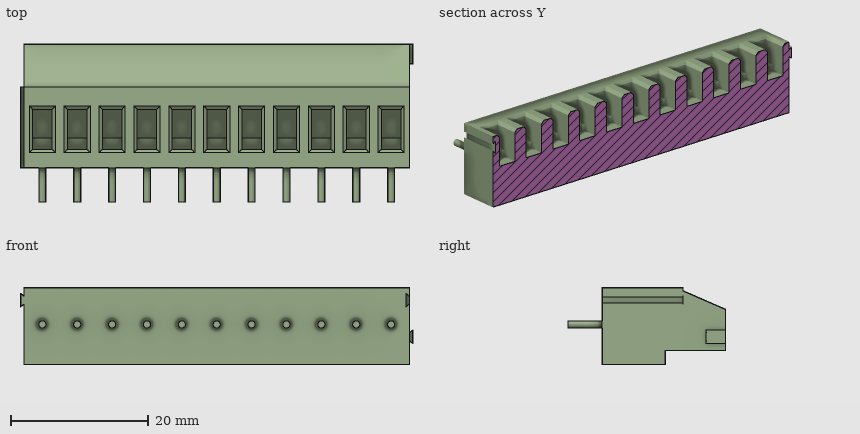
import cadquery as cq

pole_count = 11
pole_pitch = 5.08
end_margin = 2.7
pole_span = (pole_count - 1) * pole_pitch
body_length = pole_span + 2 * end_margin
end_x = body_length / 2
pole_positions = [i * pole_pitch - pole_span / 2 for i in range(pole_count)]

body_depth = 18.0
body_height = 11.2
top_depth = 11.8
top_step = 0.45
slope_end_drop = 3.15
foot_depth = 9.2
foot_height = 2.05

pin_diameter = 1.05
pin_length = 5.0
pin_z = 5.85

rim_width = 3.8
rim_depth = 6.8
rim_bevel = 0.48
window_center_y = 5.6
ledge_end_y = 4.35
ledge_drop = 4.0
floor_drop = 5.0

dovetail_width = 1.95
rail_neck = 1.25
groove_mouth = 0.9
groove_depth = 0.5
rail_height = 0.45
long_dovetail_z = body_height - 1.8
short_dovetail_z = body_height - 7.15
short_dovetail_length = 2.85


def make_housing():
    """Extrude the stepped and sloped side outline along X."""
    outline = [
        (0, 0),
        (foot_depth, 0),
        (foot_depth, foot_height),
        (body_depth, foot_height),
        (body_depth, body_height - slope_end_drop),
        (top_depth, body_height - top_step),
        (top_depth, body_height),
        (0, body_height),
    ]
    return cq.Workplane("YZ").polyline(outline).close().extrude(end_x, both=True)


def dovetail(narrow_x, wide_x, narrow_width, center_z, start_y, end_y):
    """Dovetail prism along Y that widens from narrow_x to wide_x."""
    outline = [
        (narrow_x, center_z - narrow_width / 2),
        (wide_x, center_z - dovetail_width / 2),
        (wide_x, center_z + dovetail_width / 2),
        (narrow_x, center_z + narrow_width / 2),
    ]
    profile = cq.Workplane("XZ", origin=(0, start_y, 0)).polyline(outline).close()
    return profile.extrude(start_y - end_y)


def add_dovetails(body):
    """Long pair along the upper front part, short pair at the back."""
    short_start_y = body_depth - short_dovetail_length
    long_rail = dovetail(-end_x, -end_x - rail_height, rail_neck,
                         long_dovetail_z, 0, top_depth)
    long_groove = dovetail(end_x, end_x - groove_depth, groove_mouth,
                           long_dovetail_z, 0, top_depth)
    short_rail = dovetail(end_x, end_x + rail_height, rail_neck,
                          short_dovetail_z, short_start_y, body_depth)
    short_groove = dovetail(-end_x, -end_x + groove_depth, groove_mouth,
                            short_dovetail_z, short_start_y, body_depth)
    return body.union(long_rail).union(short_rail).cut(long_groove).cut(short_groove)


def make_window(x):
    """Cutting shape of one window: bevelled rim, front ledge and deeper rear."""
    inner_width = rim_width - 2 * rim_bevel
    inner_depth = rim_depth - 2 * rim_bevel
    inner_front_y = window_center_y - inner_depth / 2
    inner_back_y = window_center_y + inner_depth / 2
    rim = (
        cq.Workplane("XY", origin=(x, window_center_y, body_height))
        .rect(rim_width, rim_depth)
        .workplane(offset=-rim_bevel)
        .rect(inner_width, inner_depth)
        .loft(ruled=True)
    )
    shaft_outline = [
        (inner_front_y, body_height - rim_bevel),
        (inner_front_y, body_height - ledge_drop),
        (ledge_end_y, body_height - ledge_drop),
        (ledge_end_y, body_height - floor_drop),
        (inner_back_y, body_height - floor_drop),
        (inner_back_y, body_height - rim_bevel),
    ]
    shaft = (
        cq.Workplane("YZ", origin=(x, 0, 0))
        .polyline(shaft_outline)
        .close()
        .extrude(inner_width / 2, both=True)
    )
    return rim.union(shaft)


def make_pin(x):
    """Round pin standing out of the front face."""
    return cq.Workplane("XZ", origin=(x, 0, pin_z)).circle(pin_diameter / 2).extrude(pin_length)


result = add_dovetails(make_housing())
for pole_x in pole_positions:
    result = result.cut(make_window(pole_x))
    result = result.union(make_pin(pole_x))